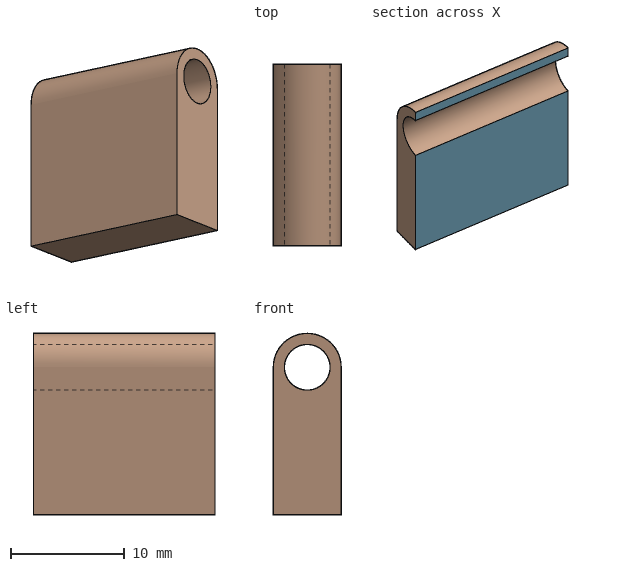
import cadquery as cq

width = 6.0
depth = 16.0
height = 16.0
bore_diameter = 4.0

top_radius = width / 2
axis_height = height - top_radius

profile = (
    cq.Workplane("XZ")
    .moveTo(-top_radius, 0)
    .lineTo(top_radius, 0)
    .lineTo(top_radius, axis_height)
    .threePointArc((0, height), (-top_radius, axis_height))
    .close()
)
body = profile.extrude(depth / 2, both=True)

bore = (
    cq.Workplane("XZ")
    .center(0, axis_height)
    .circle(bore_diameter / 2)
    .extrude(depth / 2, both=True)
)

result = body.cut(bore)